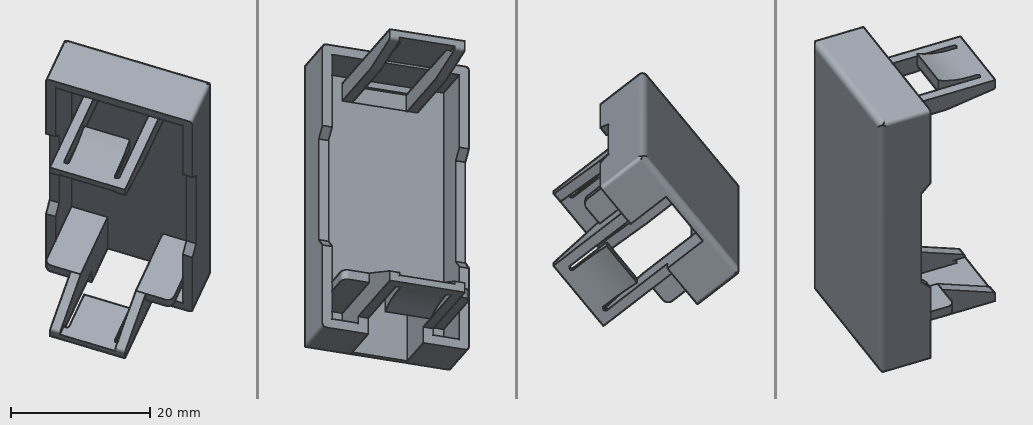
import cadquery as cq
import math

width, height, body_depth = 22.5, 45.0, 8.0
wall = 1.5
corner_radius = 0.6
back_radius = 1.0

relief_half_height = 8.0
relief_depth = 1.5

total_depth = 21.0
clip_half_width = 5.75
arm_inner_x = 4.25
tongue_half_width = 3.5
plate_thickness = 1.1
clip_inset = 2.5
clip_outer_z = height / 2 - clip_inset
hook_start, hook_end = 13.0, 18.0
hook_height = 1.05
slot_end = 19.5
upper_arm_height, upper_taper_start = 2.8, 13.15
lower_arm_height, lower_taper_start = 4.9, 12.5
tip_height = 1.55
tip_radius = 0.5
recess_depth = 0.5

ledge_depth = lower_taper_start
ledge_thickness = 1.5
ledge_radius = 1.0

inner_half_width = width / 2 - wall
inner_half_height = height / 2 - wall


def block(x_range, depth_range, z_range):
    """Box between pairs of limits, with depth measured from the back towards -Y."""
    x0, x1 = x_range
    d0, d1 = depth_range
    z0, z1 = z_range
    return cq.Workplane("XY").box(x1 - x0, d1 - d0, z1 - z0, centered=False).translate((x0, -d1, z0))


def extrude_along_x(profile, x0, x1):
    """Extrude a YZ profile from x0 to x1."""
    return profile.extrude(x1 - x0).translate((x0, 0, 0))


def make_shell():
    outline = cq.Workplane("XZ").rect(width, height).extrude(body_depth).edges("|Y").fillet(corner_radius)
    full = block((-width / 2, width / 2), (0, body_depth), (-height / 2, height / 2))
    outer = outline
    for back_edges in (">Y and |X", ">Y and |Z"):
        outer = outer.intersect(full.edges(back_edges).fillet(back_radius))
    cavity = block(
        (-inner_half_width, inner_half_width), (wall, body_depth), (-inner_half_height, inner_half_height)
    )
    relief_mouth = relief_half_height + relief_depth
    relief = (
        cq.Workplane("YZ")
        .polyline([
            (-body_depth, -relief_mouth),
            (relief_depth - body_depth, -relief_half_height),
            (relief_depth - body_depth, relief_half_height),
            (-body_depth, relief_mouth),
        ])
        .close()
        .extrude(width / 2, both=True)
    )
    return outer.cut(cavity).cut(relief)


def make_clip(arm_height, taper_start):
    """Clip with its hook pointing up (+Z)."""
    outer_z = clip_outer_z
    arm_profile = (
        cq.Workplane("YZ")
        .polyline([
            (-wall, outer_z),
            (-total_depth, outer_z),
            (-total_depth, outer_z - tip_height),
            (-taper_start, outer_z - arm_height),
            (-wall, outer_z - arm_height),
        ])
        .close()
    )
    frame = extrude_along_x(arm_profile, -clip_half_width, clip_half_width)
    frame = frame.faces("<Y").edges("<Z").fillet(tip_radius)

    below_plate = block(
        (-arm_inner_x, arm_inner_x), (0, total_depth), (outer_z - arm_height, outer_z - plate_thickness)
    )
    window = block((-arm_inner_x, arm_inner_x), (0, hook_start), (outer_z - arm_height, outer_z))
    clip = frame.cut(below_plate).cut(window)

    slot_width = arm_inner_x - tongue_half_width
    slot_x = (arm_inner_x + tongue_half_width) / 2
    slot_start = hook_start - slot_width
    slots = (
        cq.Workplane("XY")
        .pushPoints([(side * slot_x, -(slot_start + slot_end) / 2) for side in (-1, 1)])
        .slot2D(slot_end - slot_start, slot_width, 90)
        .extrude(height)
    )
    clip = clip.cut(slots)

    plate_inner_z = outer_z - plate_thickness
    ramp_length = hook_end - hook_start
    ramp_radius = (ramp_length**2 + hook_height**2) / (2 * hook_height)
    middle_rise = ramp_radius - math.sqrt(ramp_radius**2 - (ramp_length / 2) ** 2)
    ramp_middle = (-(hook_start + hook_end) / 2, outer_z + middle_rise)
    hook_profile = (
        cq.Workplane("YZ")
        .moveTo(-hook_start, plate_inner_z)
        .lineTo(-hook_end, plate_inner_z)
        .lineTo(-hook_end, outer_z)
        .threePointArc(ramp_middle, (-hook_start, outer_z + hook_height))
        .close()
    )
    return clip.union(extrude_along_x(hook_profile, -tongue_half_width, tongue_half_width))


def make_ledge(x0, x1, outer_corner):
    ledge_top = lower_arm_height - clip_outer_z
    ledge = block((x0, x1), (wall, ledge_depth), (ledge_top - ledge_thickness, ledge_top))
    return ledge.edges("|Z and <Y").edges(outer_corner).fillet(ledge_radius)


upper_clip = make_clip(upper_arm_height, upper_taper_start)
lower_clip = make_clip(lower_arm_height, lower_taper_start).mirror("XY")

wall_opening = block((-arm_inner_x, arm_inner_x), (wall, body_depth), (-height / 2, -inner_half_height))
floor_recess = block(
    (-arm_inner_x, arm_inner_x), (wall - recess_depth, wall), (clip_outer_z - upper_arm_height, clip_outer_z)
)
result = make_shell().cut(wall_opening).cut(floor_recess).union(upper_clip).union(lower_clip)
for web_start in (-clip_half_width, arm_inner_x):
    web_end = web_start + clip_half_width - arm_inner_x
    web = block((web_start, web_end), (wall, body_depth), (-inner_half_height, -clip_outer_z))
    result = result.union(web)
result = result.union(make_ledge(-inner_half_width, -clip_half_width, "<X"))
result = result.union(make_ledge(clip_half_width, inner_half_width, ">X"))